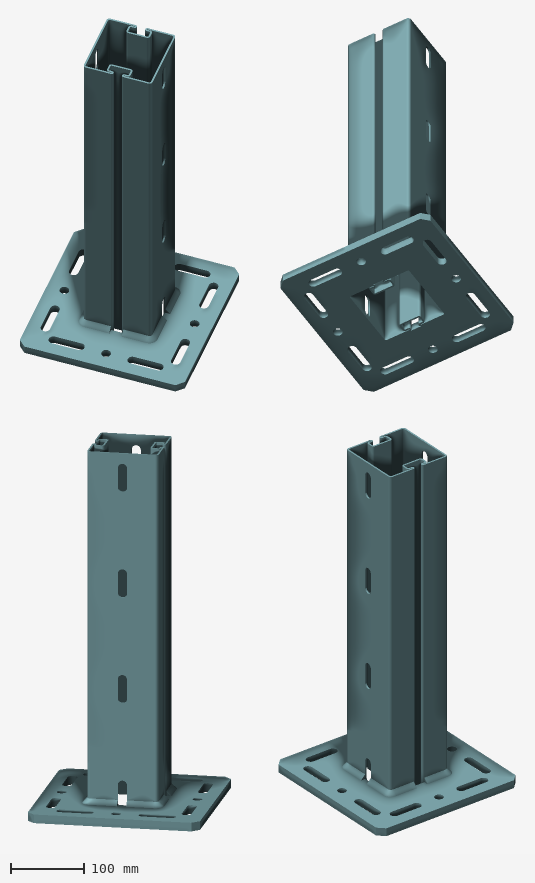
import cadquery as cq

total_height = 512.0

plate_side = 240.0
plate_thickness = 12.5
plate_corner_chamfer = 10.0
hole_diameter = 13.5
hole_offset = 94.5
plate_slot_length = 51.5
plate_slot_offset = 57.5

post_side = 100.0
wall = 2.5
post_corner_radius = 4.5

mouth_width = 12.5
fold_gap = 0.75
lip_height = 2 * wall + fold_gap
lip_radius = lip_height / 2
fold_spacing = mouth_width + 2 * lip_radius
channel_width = 34.5
channel_depth = 18.0
channel_corner_radius = 3.5

wall_slot_width = 13.0
wall_slot_length = 40.0
wall_slot_pitch = 150.0
wall_slot_count = 4
top_slot_drop = 35.0

weld_leg = 7.0


def rounded_box(size_x, size_y, height, radius, bottom=0.0):
    """Upright box centred on the Z axis with rounded vertical edges."""
    box = cq.Workplane("XY").workplane(offset=bottom).rect(size_x, size_y).extrude(height)
    return box.edges("|Z").fillet(radius)


def post_block(size_x, size_y, centre_x=0.0, centre_y=0.0):
    """Plain block over the full height of the part."""
    return cq.Workplane("XY").center(centre_x, centre_y).rect(size_x, size_y).extrude(total_height)


def make_plate():
    """Base plate with a hole and two slots along each edge, open in the middle for the post."""
    plate = cq.Workplane("XY").rect(plate_side, plate_side).extrude(plate_thickness)
    plate = plate.edges("|Z").chamfer(plate_corner_chamfer)
    for quarter_turn in range(4):
        edge_cuts = (
            cq.Workplane("XY")
            .center(0, hole_offset)
            .circle(hole_diameter / 2)
            .extrude(plate_thickness)
        )
        for side in (-1, 1):
            slot = (
                cq.Workplane("XY")
                .center(side * plate_slot_offset, hole_offset)
                .slot2D(plate_slot_length, hole_diameter)
                .extrude(plate_thickness)
            )
            edge_cuts = edge_cuts.union(slot)
        plate = plate.cut(edge_cuts.rotate((0, 0, 0), (0, 0, 1), 90 * quarter_turn))
    return plate.cut(rounded_box(post_side, post_side, plate_thickness, post_corner_radius))


def make_channel():
    """Channel with its two lips, open towards the -Y face of the post."""
    front = -post_side / 2
    body_front = wall + fold_gap
    body_depth = channel_depth - body_front
    body_centre = front + body_front + body_depth / 2
    lip_centre = front + lip_radius

    body = rounded_box(channel_width, body_depth, total_height, channel_corner_radius)
    interior = rounded_box(
        channel_width - 2 * wall, body_depth - 2 * wall, total_height, channel_corner_radius - wall
    )
    channel = body.cut(interior).translate((0, body_centre, 0))
    channel = channel.cut(post_block(fold_spacing, 2 * lip_height, 0, front))

    for side in (-1, 1):
        fold_axis = side * fold_spacing / 2
        fold = (
            cq.Workplane("XY")
            .center(fold_axis, lip_centre)
            .circle(lip_radius)
            .circle(fold_gap / 2)
            .extrude(total_height)
        )
        half_fold = fold.intersect(post_block(fold_spacing, lip_height, 0, lip_centre))
        channel = channel.union(half_fold)
    return channel


def make_post():
    """Square tube with a channel in each Y wall and a row of slots in each X wall."""
    bore_side = post_side - 2 * wall
    post = rounded_box(post_side, post_side, total_height, post_corner_radius)
    post = post.cut(rounded_box(bore_side, bore_side, total_height, post_corner_radius - wall))
    post = post.cut(post_block(fold_spacing, post_side))
    channel = make_channel()
    post = post.union(channel).union(channel.mirror("XZ"))

    wall_zones = post_block(post_side, wall_slot_width).cut(post_block(bore_side, wall_slot_width))
    for index in range(wall_slot_count):
        slot_height = total_height - top_slot_drop - index * wall_slot_pitch
        slot = (
            cq.Workplane("YZ")
            .center(0, slot_height)
            .slot2D(wall_slot_length, wall_slot_width, 90)
            .extrude(post_side / 2, both=True)
        )
        post = post.cut(slot.intersect(wall_zones))
    return post


def make_weld():
    """45 degree bead around the post, interrupted at the channel mouths and the wall slots."""
    foot_side = post_side + 2 * weld_leg
    foot_radius = post_corner_radius + weld_leg
    foot = cq.Sketch().rect(foot_side, foot_side).vertices().fillet(foot_radius)
    bead = (
        cq.Workplane("XY")
        .workplane(offset=plate_thickness)
        .placeSketch(foot)
        .extrude(weld_leg, taper=45)
    )
    bead = bead.cut(rounded_box(post_side, post_side, weld_leg, post_corner_radius, plate_thickness))
    return bead.cut(post_block(fold_spacing, foot_side)).cut(post_block(foot_side, wall_slot_width))


result = make_plate().union(make_post()).union(make_weld())